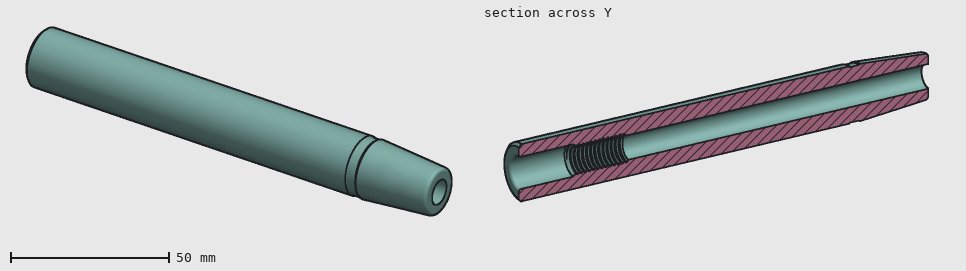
import cadquery as cq
import math

length = 150.0
body_radius = 10.0
end_chamfer = 1.0

taper_length = 25.0
nose_tip_radius = 8.0
nose_fillet = 1.2

groove_depth = 0.3
groove_length = 4.0
groove_entry_fillet = 0.4
groove_exit_length = 0.5

socket_radius = 5.5
mouth_fillet = 1.0
socket_depth = 20.0

bore_radius = 4.2
thread_radius = 5.0
thread_pitch = 1.5
thread_length = 20.0
thread_flank_angle = 30.0
thread_root_width = thread_pitch / 4
cutter_overlap = 0.1

x_start = -length / 2
x_end = length / 2
x_taper = x_end - taper_length
x_groove = x_taper - groove_length
x_socket_floor = x_start + socket_depth


def revolve_about_x(profile):
    """Full revolution about X of an outline drawn as (x, radius) in the XZ plane."""
    return profile.close().revolve(360, (0, 0, 0), (1, 0, 0))


def make_bar():
    """Chamfered bar with the relief groove and the rounded, tapered nose."""
    groove_radius = body_radius - groove_depth
    sweep = math.acos(1 - groove_depth / groove_entry_fillet)
    x_floor = x_groove + groove_entry_fillet * math.sin(sweep)
    entry_mid = (
        x_floor - groove_entry_fillet * math.sin(sweep / 2),
        groove_radius + groove_entry_fillet * (1 - math.cos(sweep / 2)),
    )
    profile = (
        cq.Workplane("XZ")
        .moveTo(x_start, 0)
        .lineTo(x_start, body_radius - end_chamfer)
        .lineTo(x_start + end_chamfer, body_radius)
        .lineTo(x_groove, body_radius)
        .threePointArc(entry_mid, (x_floor, groove_radius))
        .lineTo(x_taper - groove_exit_length, groove_radius)
        .lineTo(x_taper, body_radius)
        .lineTo(x_end, nose_tip_radius)
        .lineTo(x_end, 0)
    )
    return revolve_about_x(profile).faces(">X").edges().fillet(nose_fillet)


def make_bore():
    """Through bore with the wider socket, joined by a 45 degree cone."""
    cone_length = socket_radius - bore_radius
    profile = (
        cq.Workplane("XZ")
        .moveTo(x_start, 0)
        .lineTo(x_start, socket_radius)
        .lineTo(x_socket_floor, socket_radius)
        .lineTo(x_socket_floor + cone_length, bore_radius)
        .lineTo(x_end, bore_radius)
        .lineTo(x_end, 0)
    )
    return revolve_about_x(profile)


def make_thread_groove():
    """Helical groove that cuts the internal thread into the bore wall."""
    inner_radius = bore_radius - cutter_overlap
    flank_run = (thread_radius - inner_radius) * math.tan(math.radians(thread_flank_angle))
    root_half = thread_root_width / 2
    mouth_half = root_half + flank_run
    helix = cq.Wire.makeHelix(thread_pitch, thread_length, bore_radius)
    groove = (
        cq.Workplane("XZ")
        .polyline([
            (inner_radius, -mouth_half),
            (thread_radius, -root_half),
            (thread_radius, root_half),
            (inner_radius, mouth_half),
        ])
        .close()
        .sweep(cq.Workplane(obj=helix), isFrenet=True)
    )
    return groove.rotate((0, 0, 0), (0, 1, 0), 90).translate((x_socket_floor, 0, 0))


bar = make_bar().cut(make_bore())
bar = bar.faces("<X").edges(cq.selectors.RadiusNthSelector(0)).fillet(mouth_fillet)
result = bar.cut(make_thread_groove())